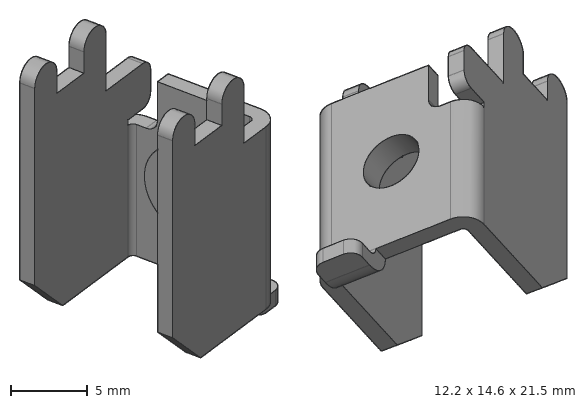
import cadquery as cq

width = 12.2
web_back = 12.03
sheet = 1.2
bend_radius = 1.6
bend_inner_radius = bend_radius - sheet
bend_start = web_back - bend_radius
web_front = web_back - sheet
corner_radius = 0.9

total_height = 21.5
lower_tab_drop = 2.0
wall_top = total_height - lower_tab_drop
post_width = 2.5
post_radius = post_width / 2
post_gap = 3.0
posts_back = 2 * post_width + post_gap
post_floor = 16.61
chamfer = 3.14
shoulder = 14.0
ear_back = 12.98
ear_bottom = 10.5

notch_right = 3.27
notch_bottom = 10.1
hole_x = width / 2
hole_z = 6.98
hole_radius = 2.1
collar_radius = 3.3
collar_height = 0.8

tab_width = 3.35
tab_right = width - bend_radius
tab_left = tab_right - tab_width
tab_back = 14.61
tab_inner_radius = lower_tab_drop - sheet
tab_bend_back = web_back + tab_inner_radius


def side_wall(x):
    """Flat wall with two round-ended posts and a chamfered lower front corner."""
    post_spring = wall_top - post_radius
    second_post = post_width + post_gap
    return (
        cq.Workplane("YZ", origin=(x, 0, 0))
        .moveTo(chamfer, 0)
        .lineTo(bend_start, 0)
        .lineTo(bend_start, shoulder)
        .lineTo(posts_back, shoulder)
        .lineTo(posts_back, post_spring)
        .threePointArc((posts_back - post_radius, wall_top), (second_post, post_spring))
        .lineTo(second_post, post_floor)
        .lineTo(post_width, post_floor)
        .lineTo(post_width, post_spring)
        .threePointArc((post_radius, wall_top), (0, post_spring))
        .lineTo(0, chamfer)
        .close()
        .extrude(sheet)
    )


def ear():
    """Rounded rearward extension of the left wall, clear of the bend below it."""
    return (
        cq.Workplane("YZ")
        .moveTo(posts_back, ear_bottom)
        .lineTo(ear_back, ear_bottom)
        .lineTo(ear_back, shoulder)
        .lineTo(posts_back, shoulder)
        .close()
        .extrude(sheet)
        .edges("|X and >Y")
        .fillet(corner_radius)
    )


def bent_web():
    """Rear plate and both quarter bends, notched at the upper left corner."""
    left_inside = sheet + bend_inner_radius
    right_inside = width - left_inside
    plate = (
        cq.Workplane("XY")
        .moveTo(0, bend_start)
        .radiusArc((bend_radius, web_back), bend_radius)
        .lineTo(width - bend_radius, web_back)
        .radiusArc((width, bend_start), bend_radius)
        .lineTo(width - sheet, bend_start)
        .radiusArc((right_inside, web_front), -bend_inner_radius)
        .lineTo(left_inside, web_front)
        .radiusArc((sheet, bend_start), -bend_inner_radius)
        .close()
        .extrude(shoulder)
    )
    notch = (
        cq.Workplane("XY", origin=(0, bend_start, notch_bottom))
        .rect(notch_right, bend_radius, centered=False)
        .extrude(shoulder - notch_bottom)
        .edges("|Y and >X")
        .edges("<Z")
        .fillet(corner_radius)
    )
    return plate.cut(notch)


def rear_cylinder(radius, front, back):
    """Cylinder along Y on the hole axis."""
    return (
        cq.Workplane("XZ", origin=(hole_x, back, hole_z))
        .circle(radius)
        .extrude(back - front)
    )


def lower_tab():
    """Tab bent rearward from the lower edge of the web, with rounded rear corners."""
    tab_top = -tab_inner_radius
    return (
        cq.Workplane("YZ", origin=(tab_left, 0, 0))
        .moveTo(web_front, 0)
        .radiusArc((tab_bend_back, -lower_tab_drop), -lower_tab_drop)
        .lineTo(tab_back, -lower_tab_drop)
        .lineTo(tab_back, tab_top)
        .lineTo(tab_bend_back, tab_top)
        .radiusArc((web_back, 0), tab_inner_radius)
        .close()
        .extrude(tab_width)
        .edges("|Z and >Y")
        .fillet(corner_radius)
    )


collar_front = web_front - collar_height
result = (
    side_wall(0)
    .union(side_wall(width - sheet))
    .union(ear())
    .union(bent_web())
    .union(rear_cylinder(collar_radius, collar_front, web_front))
    .union(lower_tab())
    .cut(rear_cylinder(hole_radius, collar_front, web_back))
)